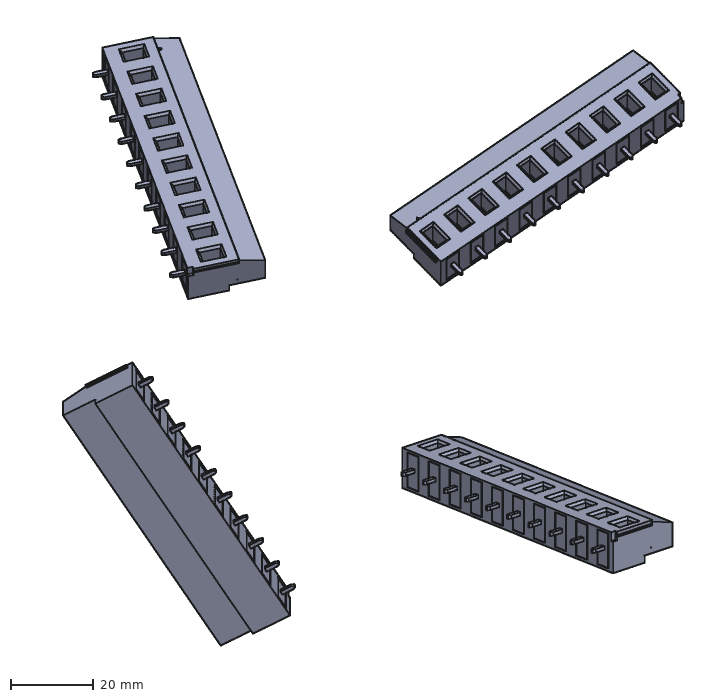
import cadquery as cq

pole_count = 10
body_length = 76.2
pitch = body_length / pole_count
body_depth = 19.5
body_height = 10.5
first_pole_x = pitch / 2

slab_back_y = 12.9
slope_top_z = 10.05
back_top_z = 8.15
undercut_y = 10.45
undercut_height = 1.85

lip_width = 4.3
lip_front_y = 3.7
lip_back_y = 10.1
lip_depth = 0.7
well_width = 3.1
well_front_y = 4.4
well_back_y = 9.7
well_depth = 6.9

recess_width = 3.9
recess_height = 9.1
recess_depth = 0.2
pin_width = 1.1
pin_thickness = 0.9
pin_length = 3.45
pin_z = 5.6
pin_root = 0.8
tip_taper_length = 0.7
tip_taper_inset = 0.3

dovetail_z = 9.4
dovetail_front_y = 1.4
dovetail_length = slab_back_y - dovetail_front_y
rib_height = 0.5
rib_root_width = 0.45
rib_tip_width = 0.9
groove_depth = 0.6
groove_floor_width = 1.0
groove_mouth_width = 0.5
notch_width = 0.7
notch_height = 2.3

nub_radius = 0.1
nub_height = 0.1
nub_y = 12.45
nub_z = 3.45
marker_base_y = 13.4
marker_length = 0.6
marker_width = 0.8
marker_top_z = 10.05
marker_height = 0.8

pole_x = [first_pole_x + index * pitch for index in range(pole_count)]


def housing():
    """Stepped and sloped profile, extruded along X."""
    profile = [
        (0, 0),
        (undercut_y, 0),
        (undercut_y, undercut_height),
        (body_depth, undercut_height),
        (body_depth, back_top_z),
        (slab_back_y, slope_top_z),
        (slab_back_y, body_height),
        (0, body_height),
    ]
    return cq.Workplane("YZ").polyline(profile).close().extrude(body_length)


def wire_opening(x):
    """Tapered lip leading into a straight blind well."""
    lip_length = lip_back_y - lip_front_y
    well_length = well_back_y - well_front_y
    lip_y = (lip_front_y + lip_back_y) / 2
    well_y = (well_front_y + well_back_y) / 2
    lip = (
        cq.Workplane("XY", origin=(x, lip_y, body_height))
        .rect(lip_width, lip_length)
        .workplane(offset=-lip_depth)
        .center(0, well_y - lip_y)
        .rect(well_width, well_length)
        .loft(ruled=True)
    )
    well = (
        cq.Workplane("XY", origin=(x, well_y, body_height - lip_depth))
        .rect(well_width, well_length)
        .extrude(lip_depth - well_depth)
    )
    return lip.union(well)


def front_recess(x):
    """Shallow rectangular recess around a pin."""
    return (
        cq.Workplane("XZ", origin=(x, 0, body_height / 2))
        .rect(recess_width, recess_height)
        .extrude(-recess_depth)
    )


def pin(x):
    """Flat pin pointing to -Y, with both sides tapered at its tip."""
    half_width = pin_width / 2
    half_tip = half_width - tip_taper_inset
    root_y = recess_depth + pin_root
    taper_y = tip_taper_length - pin_length
    outline = [
        (-half_width, root_y),
        (-half_width, taper_y),
        (-half_tip, -pin_length),
        (half_tip, -pin_length),
        (half_width, taper_y),
        (half_width, root_y),
    ]
    return (
        cq.Workplane("XY", origin=(x, 0, pin_z - pin_thickness / 2))
        .polyline(outline)
        .close()
        .extrude(pin_thickness)
    )


def dovetail(face_x, height, root_width, tip_width):
    """Dovetail bar along Y that widens towards -X, starting at face_x."""
    section = [
        (face_x, dovetail_z - root_width / 2),
        (face_x, dovetail_z + root_width / 2),
        (face_x - height, dovetail_z + tip_width / 2),
        (face_x - height, dovetail_z - tip_width / 2),
    ]
    return (
        cq.Workplane("XZ", origin=(0, dovetail_front_y, 0))
        .polyline(section)
        .close()
        .extrude(-dovetail_length)
    )


def entry_notch():
    """Corner cut that opens the groove at the front of the +X end."""
    corner = (body_length - notch_width, 0, body_height - notch_height)
    return cq.Workplane("XY", origin=corner).box(
        notch_width, dovetail_front_y, notch_height, centered=False
    )


def end_nub():
    """Tiny round nub on the +X end."""
    return cq.Workplane("YZ", origin=(body_length, nub_y, nub_z)).circle(nub_radius).extrude(nub_height)


def first_pole_marker():
    """Raised triangle on the slope, marking the first pole."""
    corners = [
        (-marker_width / 2, 0),
        (marker_width / 2, 0),
        (0, marker_length),
    ]
    return (
        cq.Workplane("XY", origin=(first_pole_x, marker_base_y, marker_top_z))
        .polyline(corners)
        .close()
        .extrude(-marker_height)
    )


result = housing()
for x in pole_x:
    result = result.cut(wire_opening(x)).cut(front_recess(x)).union(pin(x))

result = result.union(dovetail(0, rib_height, rib_root_width, rib_tip_width))
result = result.cut(dovetail(body_length, groove_depth, groove_mouth_width, groove_floor_width))
result = result.cut(entry_notch()).union(end_nub()).union(first_pole_marker())